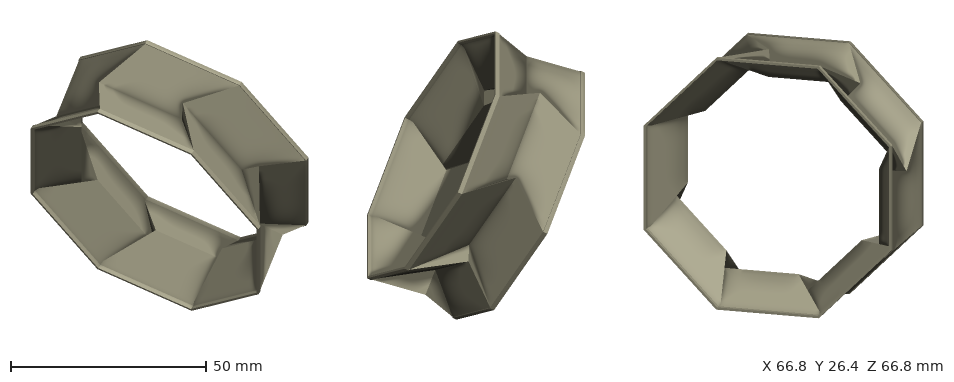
import cadquery as cq
import math

SIDES = 8
ACROSS_FLATS = 66.78
LENGTH = 26.4
RIM_WIDTH = 1.2
RIM_STEP = 0.2
PANEL_WALL = 0.35
VALLEY_APOTHEM = 26.22
VALLEY_END = 3.6

TURN = 2 * math.pi / SIDES
RIM_APOTHEM = ACROSS_FLATS / 2
FOLD_APOTHEM = RIM_APOTHEM - RIM_STEP
VALLEY_START = (VALLEY_APOTHEM * math.cos(TURN) - FOLD_APOTHEM) / math.sin(TURN)
FOLD_LENGTH = LENGTH / 2 - RIM_WIDTH
FOLD_ANGLE = math.atan2(FOLD_APOTHEM - VALLEY_APOTHEM, FOLD_LENGTH)
BORE_APOTHEM = FOLD_APOTHEM - PANEL_WALL / math.cos(FOLD_ANGLE)


def spin(point, index):
    """Turn a point of the top panel onto panel `index`, counted from +Z towards +X."""
    turn = TURN * index
    x = point.x * math.cos(turn) + point.z * math.sin(turn)
    z = point.z * math.cos(turn) - point.x * math.sin(turn)
    return cq.Vector(x, point.y, z)


def inset_plane(a, b, c, inset):
    """Plane through three points as (normal, offset), moved against its normal by `inset`."""
    normal = (c - a).cross(b - a).normalized()
    return normal, normal.dot(a) - inset


def meeting_point(plane_1, plane_2, plane_3):
    """Point shared by three planes given as (normal, offset)."""
    n1, d1 = plane_1
    n2, d2 = plane_2
    n3, d3 = plane_3
    total = n2.cross(n3) * d1 + n3.cross(n1) * d2 + n1.cross(n2) * d3
    return total / n1.dot(n2.cross(n3))


def flat_face(points):
    return cq.Face.makeFromWires(cq.Wire.makePolygon(points, close=True))


def folded_half(inset):
    """Solid inside the folded faces from mid-length to the +Y rim, each face moved in by `inset`."""
    half_side = FOLD_APOTHEM * math.tan(TURN / 2)
    rim_start = cq.Vector(-half_side, FOLD_LENGTH, FOLD_APOTHEM)
    rim_end = cq.Vector(half_side, FOLD_LENGTH, FOLD_APOTHEM)
    valley_start = cq.Vector(VALLEY_START, 0, VALLEY_APOTHEM)
    valley_end = cq.Vector(VALLEY_END, 0, VALLEY_APOTHEM)
    next_start = spin(valley_start, 1)

    panel = inset_plane(rim_start, rim_end, valley_end, inset)
    next_panel = (spin(panel[0], 1), panel[1])
    triangle = inset_plane(rim_end, next_start, valley_end, inset)
    mid_plane = (cq.Vector(0, 1, 0), 0)
    rim_plane = (cq.Vector(0, 1, 0), FOLD_LENGTH)

    rim_corner = meeting_point(panel, next_panel, rim_plane)
    apex = meeting_point(panel, next_panel, triangle)
    end = meeting_point(panel, triangle, mid_plane)
    start = meeting_point(next_panel, triangle, mid_plane)

    faces = []
    rim_outline = []
    mid_outline = []
    for i in range(SIDES):
        rim_i, apex_i, end_i, start_i = [spin(p, i) for p in (rim_corner, apex, end, start)]
        rim_before, apex_before, start_before = [spin(p, i - 1) for p in (rim_corner, apex, start)]
        panel_outline = [rim_before, rim_i, end_i, start_before]
        if inset > 0:
            panel_outline = [rim_before, rim_i, apex_i, end_i, start_before, apex_before]
        faces.append(flat_face(panel_outline))
        faces.append(flat_face([apex_i, start_i, end_i]))
        rim_outline.append(rim_i)
        mid_outline += [end_i, start_i]
    faces.append(flat_face(rim_outline))
    faces.append(flat_face(mid_outline))
    return cq.Workplane(cq.Solid.makeSolid(cq.Shell.makeShell(faces)).fix())


def octagon_prism(apothem, width):
    diameter = 2 * apothem / math.cos(TURN / 2)
    prism = cq.Workplane("XZ").polygon(SIDES, diameter).extrude(-width)
    return prism.rotate((0, 0, 0), (0, 1, 0), math.degrees(TURN / 2))


def octagonal_rim():
    ring = octagon_prism(RIM_APOTHEM, RIM_WIDTH).cut(octagon_prism(BORE_APOTHEM, RIM_WIDTH))
    return ring.translate((0, FOLD_LENGTH, 0))


folds = folded_half(0).cut(folded_half(PANEL_WALL))
half = folds.union(octagonal_rim())
result = half.union(half.mirror("XZ")).solids()